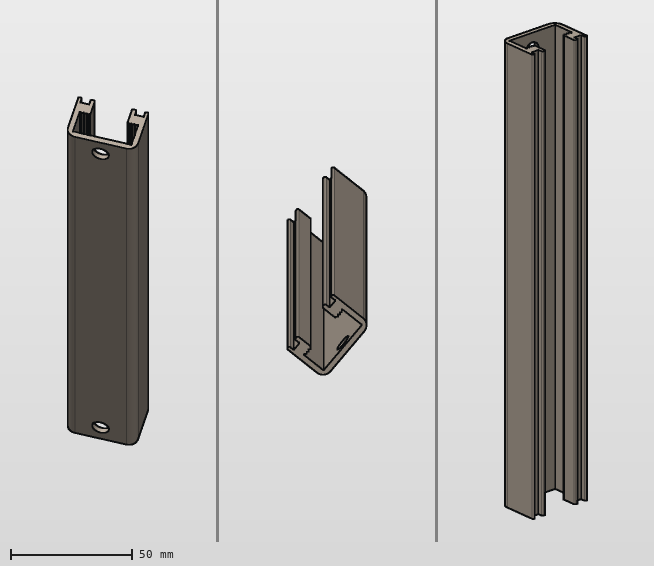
import cadquery as cq

LENGTH = 209.0
WIDTH = 30.0
DEPTH = 20.0

WALL = 2.5
OUTER_CORNER_RADIUS = 4.0
LIP_WIDTH = 7.1
LIP_HEIGHT = 7.1

TOOTH_COUNT = 3
TOOTH_PITCH = 1.3
TOOTH_HEIGHT = 0.6
TOOTH_INSET = 0.5

GROOVE_DEPTH = 2.5
OUTER_PRONG = 1.5
INNER_PRONG = 1.9
PRONG_EDGE_RADIUS = 0.6

HOLE_DIAMETER = 7.1
HOLE_END_DISTANCE = 8.0

OPEN_FACE = DEPTH / 2
WEB_FACE = -DEPTH / 2
HALF_WIDTH = WIDTH / 2


def bar(x_min, x_max, y_min, y_max):
    """Full-length rectangular bar centred along Z."""
    width = x_max - x_min
    depth = y_max - y_min
    return (
        cq.Workplane("XY")
        .box(width, depth, LENGTH)
        .translate(((x_min + x_max) / 2, (y_min + y_max) / 2, 0))
    )


def channel():
    """Plain U channel with rounded outer corners."""
    body = bar(-HALF_WIDTH, HALF_WIDTH, WEB_FACE, OPEN_FACE)
    body = body.edges("|Z and <Y").fillet(OUTER_CORNER_RADIUS)
    inner_half_width = HALF_WIDTH - WALL
    return body.cut(bar(-inner_half_width, inner_half_width, WEB_FACE + WALL, OPEN_FACE))


def tooth(x_max):
    """Full-length triangular tooth whose base ends at x_max."""
    base = OPEN_FACE - LIP_HEIGHT
    corners = [
        (x_max - TOOTH_PITCH, base),
        (x_max - TOOTH_PITCH / 2, base - TOOTH_HEIGHT),
        (x_max, base),
    ]
    return cq.Workplane("XY").polyline(corners).close().extrude(LENGTH / 2, both=True)


def lip():
    """Grooved lip on the -X side."""
    outer = -HALF_WIDTH
    inner = outer + LIP_WIDTH
    body = bar(outer, inner, OPEN_FACE - LIP_HEIGHT, OPEN_FACE)
    groove = bar(outer + OUTER_PRONG, inner - INNER_PRONG, OPEN_FACE - GROOVE_DEPTH, OPEN_FACE)
    body = body.cut(groove).edges("|Z and >Y").fillet(PRONG_EDGE_RADIUS)
    for index in range(TOOTH_COUNT):
        body = body.union(tooth(inner - TOOTH_INSET - index * TOOTH_PITCH))
    return body


def mounting_holes():
    """Cutters for one hole near each end of the web."""
    spacing = LENGTH - 2 * HOLE_END_DISTANCE
    return (
        cq.Workplane("XZ", origin=(0, WEB_FACE, 0))
        .rarray(2, spacing, 1, 2)
        .circle(HOLE_DIAMETER / 2)
        .extrude(-WALL)
    )


def lip_space():
    """Wall ends that the finished lips replace."""
    return bar(-HALF_WIDTH, HALF_WIDTH, OPEN_FACE - LIP_HEIGHT, OPEN_FACE)


left_lip = lip()
right_lip = left_lip.mirror("YZ")
result = channel().cut(lip_space()).union(left_lip).union(right_lip).cut(mounting_holes()).clean()